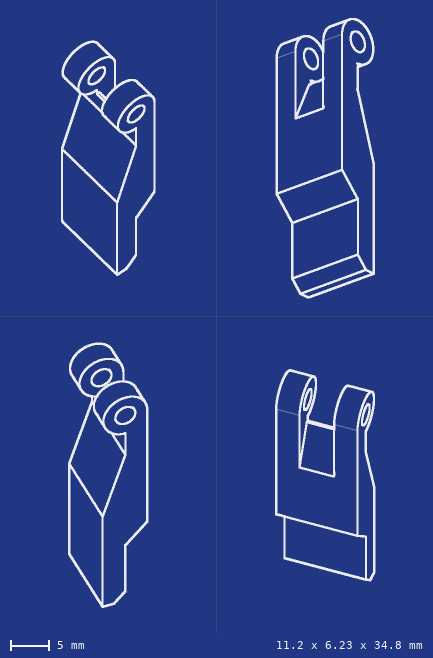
import cadquery as cq
import math

width = 11.17
height = 34.8
depth = 6.23

eye_radius = 3.05
pin_diameter = 2.8
slot_width = 4.75

slot_front_z = 27.87
land_depth = 0.4
land_angle = 13
ramp_angle = 65

neck_bottom_z = 25.0
slope_bottom_z = 15.5
back_step_top_z = 12.53
back_step_depth = 3.05
tip_chamfer = 1.6

front_y = -depth / 2
back_y = depth / 2
eye_y = back_y - eye_radius
eye_z = height - eye_radius
step_y = back_y - back_step_depth
ridge_y = eye_y + land_depth
ridge_z = slot_front_z + land_depth * math.tan(math.radians(land_angle))
ramp_bottom_z = ridge_z - (back_y - ridge_y) * math.tan(math.radians(ramp_angle))


def extrude_centered(sketch, total_width):
    """Extrude a YZ sketch symmetrically about the middle of the part."""
    return sketch.extrude(total_width / 2, both=True)


lever = extrude_centered(
    cq.Workplane("YZ")
    .moveTo(front_y, 0)
    .lineTo(front_y, slope_bottom_z)
    .lineTo(eye_y, neck_bottom_z)
    .lineTo(eye_y, eye_z - eye_radius)
    .threePointArc(
        (eye_y - eye_radius * math.sqrt(0.5), eye_z + eye_radius * math.sqrt(0.5)),
        (back_y, eye_z),
    )
    .lineTo(back_y, back_step_top_z)
    .lineTo(step_y, back_step_top_z - back_step_depth)
    .lineTo(step_y, tip_chamfer)
    .lineTo(step_y - tip_chamfer, 0)
    .close(),
    width,
)

pin_hole = extrude_centered(
    cq.Workplane("YZ").center(eye_y, eye_z).circle(pin_diameter / 2),
    width,
)

slot = extrude_centered(
    cq.Workplane("YZ")
    .moveTo(front_y, height)
    .lineTo(front_y, slot_front_z)
    .lineTo(eye_y, slot_front_z)
    .lineTo(ridge_y, ridge_z)
    .lineTo(back_y, ramp_bottom_z)
    .lineTo(back_y, height)
    .close(),
    slot_width,
)

result = lever.cut(pin_hole).cut(slot)